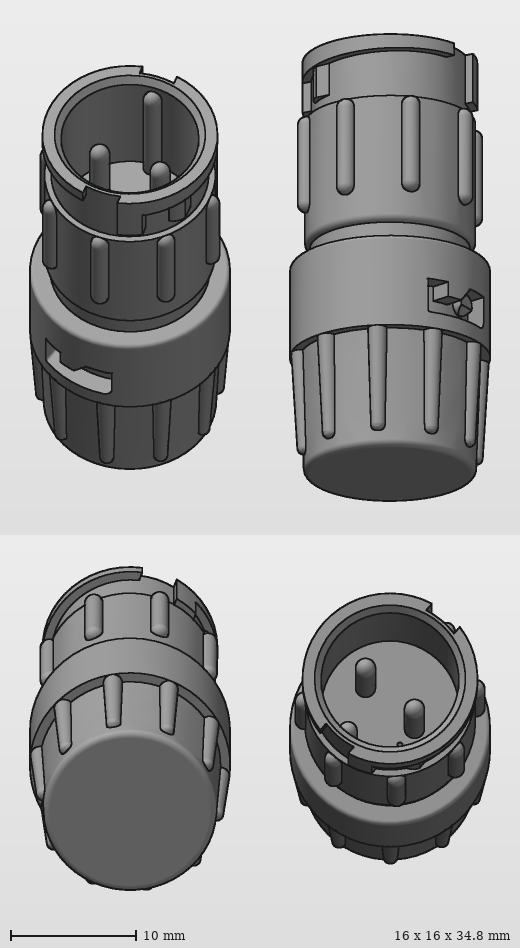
import cadquery as cq

TOTAL_HEIGHT = 34.78

NUT_BOTTOM_RADIUS = 6.9
NUT_TOP_RADIUS = 7.25
NUT_EDGE_ROUND = 0.52
NUT_RIB_COUNT = 10
NUT_RIB_FIRST_ANGLE = 5.0
NUT_RIB_BOTTOM_Z = 1.25
NUT_RIB_ROUND = 0.5
NUT_RIB_BOTTOM_RADIUS = 0.55
NUT_RIB_TOP_RADIUS = 0.75

SLEEVE_BOTTOM_Z = 9.8
SLEEVE_TOP_Z = 17.45
SLEEVE_RADIUS = 8.0
SLEEVE_EDGE_ROUND = 0.35

WINDOW_ANGLE = -13.4
WINDOW_HALF_WIDTH = 3.15
WINDOW_BOTTOM_Z = 11.13
WINDOW_LEDGE_Z = 12.73
WINDOW_TOP_Z = 13.95
WINDOW_LEFT_LEG_WIDTH = 1.75
WINDOW_RIGHT_LEG_WIDTH = 2.12
WINDOW_SLOPE_WIDTH = 1.08
WINDOW_SMALL_ROUND = 0.2
WINDOW_LARGE_ROUND = 0.7

STUD_RADIUS = 0.85
STUD_Z = 13.0
STUD_FACE_RADIUS = 7.13
STUD_BEVEL_DROP = 0.2

CORE_RADIUS = 6.4
COLLAR_BOTTOM_Z = 19.05
COLLAR_TOP_Z = 29.63
COLLAR_RADIUS = 6.8
COLLAR_EDGE_ROUND = 0.55
COLLAR_RIB_COUNT = 8
COLLAR_RIB_RADIUS = 0.73
COLLAR_RIB_AXIS_RADIUS = 6.85
COLLAR_RIB_TIP_FLAT = 0.017
COLLAR_RIB_BOTTOM_Z = 21.55

SPIGOT_RADIUS = 6.3
FLANGE_RADIUS = 7.0
FLANGE_GAP_HALF_WIDTH = 1.45
FLANGE_THIN_END = 1.0
FLANGE_THICK_END = 1.67
LUG_BOTTOM_Z = 30.68
STOP_LUG_OUTER_X = 3.35

DETENT_START = (4.85, -4.07)
DETENT_CREST = (5.5, -3.83)
DETENT_TIP = (5.95, -3.3)
DETENT_END_Y = -2.1
DETENT_ROOT = (4.52, -2.1)

SOCKET_RADIUS = 5.5
SOCKET_FLOOR_Z = 24.35
SOCKET_CHAMFER = 0.52
PIN_RADIUS = 0.8
PIN_X = 2.57
PIN_TIP_Z = 31.93
KEY_RADIUS = 0.73
KEY_Y = 5.15
KEY_TIP_Z = 33.85
DIMPLE_RADIUS = 0.2
DIMPLE_Y = 1.77


def cylinder(radius, bottom_z, top_z, x=0.0, y=0.0):
    """Upright cylinder between two heights."""
    return cq.Workplane("XY", origin=(x, y, bottom_z)).circle(radius).extrude(top_z - bottom_z)


def domed_post(radius, bottom_z, tip_z, x, y):
    """Upright post with a hemispherical tip."""
    dome_z = tip_z - radius
    dome = cq.Workplane("XY", origin=(x, y, dome_z)).sphere(radius)
    return cylinder(radius, bottom_z, dome_z, x, y).union(dome)


def around_z(shape, degrees):
    """Copy of a shape turned about the part's axis."""
    return shape.rotate((0, 0, 0), (0, 0, 1), degrees)


def nut_radius(z):
    """Radius of the tapered nut at height z."""
    return NUT_BOTTOM_RADIUS + (NUT_TOP_RADIUS - NUT_BOTTOM_RADIUS) * z / SLEEVE_BOTTOM_Z


def make_nut():
    nut = (
        cq.Workplane("XZ")
        .polyline([(0, 0), (nut_radius(0), 0), (NUT_TOP_RADIUS, SLEEVE_BOTTOM_Z), (0, SLEEVE_BOTTOM_Z)])
        .close()
        .revolve(360, (0, 0, 0), (0, 1, 0))
        .faces("<Z")
        .edges()
        .fillet(NUT_EDGE_ROUND)
    )
    rib = (
        cq.Workplane("XY", origin=(0, -nut_radius(NUT_RIB_BOTTOM_Z), NUT_RIB_BOTTOM_Z))
        .circle(NUT_RIB_BOTTOM_RADIUS)
        .workplane(offset=SLEEVE_BOTTOM_Z - NUT_RIB_BOTTOM_Z)
        .center(0, nut_radius(NUT_RIB_BOTTOM_Z) - NUT_TOP_RADIUS)
        .circle(NUT_RIB_TOP_RADIUS)
        .loft()
        .faces("<Z")
        .edges()
        .fillet(NUT_RIB_ROUND)
    )
    for index in range(NUT_RIB_COUNT):
        nut = nut.union(around_z(rib, NUT_RIB_FIRST_ANGLE + index * 360 / NUT_RIB_COUNT))
    return nut


def make_window():
    """Cutter for the bayonet window, facing -Y before it is turned."""
    left = -WINDOW_HALF_WIDTH
    right = WINDOW_HALF_WIDTH
    ledge_left = left + WINDOW_LEFT_LEG_WIDTH
    slope_top = right - WINDOW_RIGHT_LEG_WIDTH
    outline = [
        (left, WINDOW_BOTTOM_Z),
        (right, WINDOW_BOTTOM_Z),
        (right, WINDOW_TOP_Z),
        (slope_top, WINDOW_TOP_Z),
        (slope_top - WINDOW_SLOPE_WIDTH, WINDOW_LEDGE_Z),
        (ledge_left, WINDOW_LEDGE_Z),
        (ledge_left, WINDOW_TOP_Z),
        (left, WINDOW_TOP_Z),
    ]
    prism = cq.Workplane("XZ").polyline(outline).close().extrude(SLEEVE_RADIUS)
    prism = prism.edges("|Y and <Z and >X").fillet(WINDOW_LARGE_ROUND)
    prism = prism.edges("|Y and <Z and <X").fillet(WINDOW_SMALL_ROUND)
    core = cylinder(CORE_RADIUS, SLEEVE_BOTTOM_Z, SLEEVE_TOP_Z)
    return around_z(prism.cut(core), WINDOW_ANGLE)


def make_stud():
    """Stud facing -Y, its lower front bevelled at 45 degrees."""
    stud = cq.Workplane("XZ", origin=(0, 0, STUD_Z)).circle(STUD_RADIUS).extrude(STUD_FACE_RADIUS)
    bevel = (
        cq.Workplane("YZ", origin=(-STUD_RADIUS, -STUD_FACE_RADIUS, STUD_Z - STUD_BEVEL_DROP))
        .polyline([(0, 0), (STUD_RADIUS, -STUD_RADIUS), (0, -STUD_RADIUS)])
        .close()
        .extrude(2 * STUD_RADIUS)
    )
    return stud.cut(bevel)


def make_sleeve():
    sleeve = cylinder(SLEEVE_RADIUS, SLEEVE_BOTTOM_Z, SLEEVE_TOP_Z)
    sleeve = sleeve.faces(">Z").edges().fillet(SLEEVE_EDGE_ROUND)
    return sleeve.cut(make_window()).union(make_stud())


def make_collar():
    collar = cylinder(COLLAR_RADIUS, COLLAR_BOTTOM_Z, COLLAR_TOP_Z)
    collar = collar.faces("<Z").edges().fillet(COLLAR_EDGE_ROUND)
    rib_spacing = 360 / COLLAR_RIB_COUNT
    collar = around_z(collar, rib_spacing / 2)
    rib = (
        cylinder(COLLAR_RIB_RADIUS, COLLAR_RIB_BOTTOM_Z, COLLAR_TOP_Z, COLLAR_RIB_AXIS_RADIUS)
        .edges()
        .fillet(COLLAR_RIB_RADIUS - COLLAR_RIB_TIP_FLAT)
    )
    for index in range(COLLAR_RIB_COUNT):
        collar = collar.union(around_z(rib, index * rib_spacing))
    return collar


def make_half_flange():
    """Ramped flange on the +X side with its stop lug and detent lug."""
    gap = FLANGE_GAP_HALF_WIDTH
    ramp = (
        cq.Workplane("YZ", origin=(gap, 0, 0))
        .polyline([
            (-FLANGE_RADIUS, TOTAL_HEIGHT),
            (-FLANGE_RADIUS, TOTAL_HEIGHT - FLANGE_THICK_END),
            (FLANGE_RADIUS, TOTAL_HEIGHT - FLANGE_THIN_END),
            (FLANGE_RADIUS, TOTAL_HEIGHT),
        ])
        .close()
        .extrude(FLANGE_RADIUS)
    )
    lug_height = TOTAL_HEIGHT - LUG_BOTTOM_Z
    stop_lug = cq.Workplane("XY").box(
        STOP_LUG_OUTER_X - gap, FLANGE_RADIUS, lug_height, centered=False
    ).translate((gap, -FLANGE_RADIUS, LUG_BOTTOM_Z))
    detent = (
        cq.Workplane("XY", origin=(0, 0, LUG_BOTTOM_Z))
        .moveTo(*DETENT_START)
        .threePointArc(DETENT_CREST, DETENT_TIP)
        .lineTo(DETENT_TIP[0], DETENT_END_Y)
        .lineTo(*DETENT_ROOT)
        .close()
        .extrude(lug_height)
    )
    disc = cylinder(FLANGE_RADIUS, LUG_BOTTOM_Z, TOTAL_HEIGHT)
    return ramp.union(stop_lug).union(detent).intersect(disc)


def make_spigot():
    spigot = cylinder(SPIGOT_RADIUS, COLLAR_TOP_Z, TOTAL_HEIGHT)
    half_flange = make_half_flange()
    return spigot.union(half_flange).union(around_z(half_flange, 180))


def make_socket():
    socket = cylinder(SOCKET_RADIUS, SOCKET_FLOOR_Z, TOTAL_HEIGHT)
    mouth = (
        cq.Workplane("XY", origin=(0, 0, TOTAL_HEIGHT - SOCKET_CHAMFER))
        .circle(SOCKET_RADIUS)
        .workplane(offset=SOCKET_CHAMFER)
        .circle(SOCKET_RADIUS + SOCKET_CHAMFER)
        .loft()
    )
    return socket.union(mouth)


core = cylinder(CORE_RADIUS, SLEEVE_TOP_Z, COLLAR_BOTTOM_Z)
result = make_nut().union(make_sleeve()).union(core).union(make_collar()).union(make_spigot())
result = result.cut(make_socket())

for pin_x in (-PIN_X, PIN_X):
    result = result.union(domed_post(PIN_RADIUS, SOCKET_FLOOR_Z, PIN_TIP_Z, pin_x, 0))
result = result.union(domed_post(KEY_RADIUS, SOCKET_FLOOR_Z, KEY_TIP_Z, 0, KEY_Y))

dimple = cq.Workplane("XY", origin=(-PIN_X, DIMPLE_Y, SOCKET_FLOOR_Z)).sphere(DIMPLE_RADIUS)
result = result.cut(dimple)